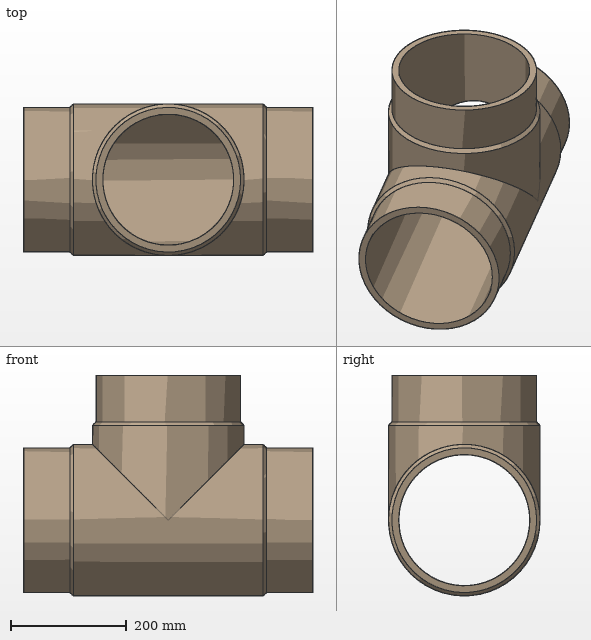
import cadquery as cq

run_length = 500.0
pipe_diameter = 250.0
body_diameter = 262.0
bore_diameter = 226.0
spigot_length = 80.0

half_run = run_length / 2
branch_height = half_run
body_reach = half_run - spigot_length
shoulder_chamfer = (body_diameter - pipe_diameter) / 2


def cylinder_from(plane_name, start, end, diameter):
    """Cylinder along the plane normal, between two positions on that axis."""
    plane = cq.Workplane(plane_name).workplane(offset=start)
    return plane.circle(diameter / 2).extrude(end - start)


run_body = cylinder_from("YZ", -body_reach, body_reach, body_diameter)
run_body = run_body.edges("%CIRCLE").chamfer(shoulder_chamfer)
run_pipe = cylinder_from("YZ", -half_run, half_run, pipe_diameter)

branch_body = cylinder_from("XY", 0, body_reach, body_diameter)
branch_body = branch_body.faces(">Z").edges().chamfer(shoulder_chamfer)
branch_pipe = cylinder_from("XY", 0, branch_height, pipe_diameter)

run_bore = cylinder_from("YZ", -half_run, half_run, bore_diameter)
branch_bore = cylinder_from("XY", 0, branch_height, bore_diameter)

run = run_body.union(run_pipe)
branch = branch_body.union(branch_pipe)
result = run.union(branch).cut(run_bore).cut(branch_bore)